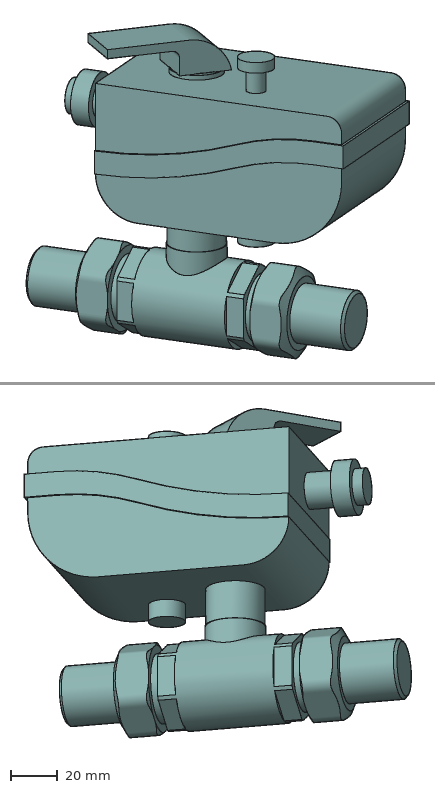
import cadquery as cq
import math

HEX_HALF_SECTOR = math.radians(30)


pipe_half_length = 75.0
pipe_radius = 13.0
pipe_chamfer = 1.3
barrel_radius = 19.3
barrel_half_length = 21.9
hex_end_outer_x = 29.8
hex_end_flats = 34.3
collar_radius = 15.2
neck_root_radius = 13.0
neck_root_top_z = 25.0
neck_radius = 12.8

nut_inner_x = 33.5
nut_outer_x = 49.8
nut_flats = 37.3
nut_edge_fillet = 5.9
nut_outer_face_radius = 16.1
nut_inner_face_radius = 18.8
nut_chamfer_angle = 30.0

housing_left_x = -32.7
housing_right_x = 83.3
housing_width = 66.0
base_bottom_z = 41.8
cover_top_z = 102.2
base_right_radius = 31.6
cover_corner_radius = 6.9
band_right_x = 84.5
band_width = 68.3
band_height = 10.4
band_left_z = 61.7
wave_end_x = 70.2
wave_rise = 18.2
wave_join_fraction = 0.65

gland_z = 83.4
gland_radius = 8.0
gland_end_x = -58.5
gland_ring_radius = 12.1
gland_ring_left_x = -53.9
gland_ring_right_x = -45.5

pin_x = 34.0
pin_y = -13.2
pin_shank_radius = 4.3
pin_head_radius = 8.0
pin_head_bottom_z = 112.6
pin_top_z = 117.4
boss_bottom_z = 34.1

lever_angle = 45.0
lever_width = 24.0
lever_tip = -45.3
lever_block_start = -12.3
lever_block_end = 11.5
lever_nose_start = -8.0
lever_bottom_z = 105.3
lever_top_z = 120.9
lever_thickness = 4.1
lever_inner_fillet = 3.7
hub_lower_radius = 12.0
hub_step_z = 104.3
hub_upper_radius = 11.8


def x_cylinder(radius, start_x, end_x, z=0.0):
    """Round bar along X from start_x to end_x."""
    return cq.Workplane("YZ", origin=(start_x, 0, z)).circle(radius).extrude(end_x - start_x)


def z_cylinder(radius, start_z, end_z, x=0.0, y=0.0):
    """Round bar along Z from start_z to end_z."""
    return cq.Workplane("XY", origin=(x, y, start_z)).circle(radius).extrude(end_z - start_z)


def x_hexagon(flats, start_x, end_x):
    """Hexagonal bar along X with its corners pointing up and down."""
    corner_diameter = flats / math.cos(HEX_HALF_SECTOR)
    bar = cq.Workplane("YZ", origin=(start_x, 0, 0)).transformed(rotate=(0, 0, 90))
    return bar.polygon(6, corner_diameter).extrude(end_x - start_x)


def make_valve_body():
    """Barrel with hexagonal ends, collars, pipe stubs and the neck."""
    valve = x_cylinder(pipe_radius, -pipe_half_length, pipe_half_length)
    valve = valve.faces("<X or >X").chamfer(pipe_chamfer)
    valve = valve.union(x_cylinder(collar_radius, -nut_inner_x, nut_inner_x))
    hex_ends = x_hexagon(hex_end_flats, -hex_end_outer_x, hex_end_outer_x)
    hex_ends = hex_ends.intersect(x_cylinder(barrel_radius, -hex_end_outer_x, hex_end_outer_x))
    valve = valve.union(hex_ends)
    valve = valve.union(x_cylinder(barrel_radius, -barrel_half_length, barrel_half_length))
    valve = valve.union(z_cylinder(neck_root_radius, 0, neck_root_top_z))
    return valve.union(z_cylinder(neck_radius, 0, base_bottom_z))


def make_nut(side):
    """Union nut with rounded edges and conical end chamfers; side is -1 or +1 along X."""
    nut = x_hexagon(nut_flats, nut_inner_x, nut_outer_x).edges("|X").fillet(nut_edge_fillet)
    slope = math.tan(math.radians(nut_chamfer_angle))
    rim_radius = nut_flats / 2 / math.cos(HEX_HALF_SECTOR)
    outer_run = (rim_radius - nut_outer_face_radius) * slope
    inner_run = (rim_radius - nut_inner_face_radius) * slope
    chamfer_envelope = (
        cq.Workplane("XZ")
        .moveTo(nut_inner_x, 0)
        .lineTo(nut_inner_x, nut_inner_face_radius)
        .lineTo(nut_inner_x + inner_run, rim_radius)
        .lineTo(nut_outer_x - outer_run, rim_radius)
        .lineTo(nut_outer_x, nut_outer_face_radius)
        .lineTo(nut_outer_x, 0)
        .close()
        .revolve(360, (0, 0, 0), (1, 0, 0))
    )
    nut = nut.intersect(chamfer_envelope)
    nut = nut.cut(x_cylinder(pipe_radius, nut_inner_x, nut_outer_x))
    if side < 0:
        nut = nut.mirror("YZ")
    return nut


def extrude_outline(outline, width):
    """Extrude a closed XZ outline to the given width, centred on Y = 0."""
    return outline.close().extrude(width / 2, both=True)


def wave_points(left_z):
    """Points of the S-shaped joint: two tangent arcs, level at both ends, each with its middle point."""
    lower_run = wave_join_fraction * (wave_end_x - housing_left_x)
    lower_rise = wave_join_fraction * wave_rise
    lower_radius = (lower_run**2 + lower_rise**2) / (2 * lower_rise)
    half_angle = math.asin(lower_run / lower_radius) / 2
    middle_run = lower_radius * math.sin(half_angle)
    middle_rise = lower_radius * (1 - math.cos(half_angle))
    upper_scale = (1 - wave_join_fraction) / wave_join_fraction
    right_z = left_z + wave_rise
    return [
        (housing_left_x, left_z),
        (housing_left_x + middle_run, left_z + middle_rise),
        (housing_left_x + lower_run, left_z + lower_rise),
        (wave_end_x - upper_scale * middle_run, right_z - upper_scale * middle_rise),
        (wave_end_x, right_z),
    ]


def follow_wave(outline, points):
    """Continue an outline from the first wave point along both arcs to the last."""
    return outline.threePointArc(points[1], points[2]).threePointArc(points[3], points[4])


def make_base():
    """Lower housing with rounded lower corners and the boss under the pin."""
    wave = wave_points(band_left_z)
    left_radius = band_left_z - base_bottom_z
    right_z = wave[-1][1]
    outline = follow_wave(cq.Workplane("XZ").moveTo(*wave[0]), wave)
    outline = (
        outline.lineTo(housing_right_x, right_z)
        .lineTo(housing_right_x, base_bottom_z)
        .lineTo(housing_left_x + left_radius, base_bottom_z)
        .radiusArc(wave[0], left_radius)
    )
    base = extrude_outline(outline, housing_width)
    base = base.edges("<Z and >X").fillet(base_right_radius)
    return base.union(z_cylinder(pin_head_radius, boss_bottom_z, base_bottom_z, pin_x, pin_y))


def make_band():
    """Wavy band between base and cover, standing proud of them on three sides."""
    lower_wave = wave_points(band_left_z)
    upper_wave = wave_points(band_left_z + band_height)
    outline = follow_wave(cq.Workplane("XZ").moveTo(*lower_wave[0]), lower_wave)
    outline = (
        outline.lineTo(band_right_x, lower_wave[-1][1])
        .lineTo(band_right_x, upper_wave[-1][1])
        .lineTo(*upper_wave[-1])
    )
    outline = follow_wave(outline, upper_wave[::-1])
    return extrude_outline(outline, band_width)


def make_cover():
    """Upper housing with one rounded top edge and the cable gland on its end wall."""
    wave = wave_points(band_left_z + band_height)
    right_z = wave[-1][1]
    outline = follow_wave(cq.Workplane("XZ").moveTo(*wave[0]), wave)
    outline = (
        outline.lineTo(housing_right_x, right_z)
        .lineTo(housing_right_x, cover_top_z)
        .lineTo(housing_left_x, cover_top_z)
    )
    cover = extrude_outline(outline, housing_width)
    cover = cover.edges(">Z and >X").fillet(cover_corner_radius)
    cover = cover.union(x_cylinder(gland_radius, gland_end_x, housing_left_x, gland_z))
    return cover.union(x_cylinder(gland_ring_radius, gland_ring_left_x, gland_ring_right_x, gland_z))


def make_pin():
    """Headed push pin standing on the cover."""
    shank = z_cylinder(pin_shank_radius, cover_top_z, pin_top_z, pin_x, pin_y)
    return shank.union(z_cylinder(pin_head_radius, pin_head_bottom_z, pin_top_z, pin_x, pin_y))


def make_lever():
    """Hand lever with a rounded nose, turned about its round hub."""
    nose_run = lever_block_end - lever_nose_start
    nose_drop = lever_top_z - lever_bottom_z
    nose_radius = (nose_run**2 + nose_drop**2) / (2 * nose_drop)
    half_angle = math.asin(nose_run / nose_radius) / 2
    nose_middle = (
        lever_nose_start + nose_radius * math.sin(half_angle),
        lever_top_z - nose_radius * (1 - math.cos(half_angle)),
    )
    underside_z = lever_top_z - lever_thickness
    outline = (
        cq.Workplane("XZ")
        .moveTo(lever_tip, lever_top_z)
        .lineTo(lever_nose_start, lever_top_z)
        .threePointArc(nose_middle, (lever_block_end, lever_bottom_z))
        .lineTo(lever_block_start, lever_bottom_z)
        .lineTo(lever_block_start, underside_z - lever_inner_fillet)
        .radiusArc((lever_block_start - lever_inner_fillet, underside_z), -lever_inner_fillet)
        .lineTo(lever_tip, underside_z)
    )
    lever = extrude_outline(outline, lever_width)
    lever = lever.rotate((0, 0, 0), (0, 0, 1), lever_angle)
    lever = lever.union(z_cylinder(hub_upper_radius, cover_top_z, lever_bottom_z))
    return lever.union(z_cylinder(hub_lower_radius, cover_top_z, hub_step_z))


valve_body = make_valve_body()
nuts = [make_nut(side) for side in (-1, 1)]
base = make_base()
band = make_band()
cover = make_cover()
pin = make_pin()
lever = make_lever()

result = cq.Compound.makeCompound([
    valve_body.val(),
    *[nut.val() for nut in nuts],
    base.val(),
    band.val(),
    cover.val(),
    pin.val(),
    lever.val(),
])